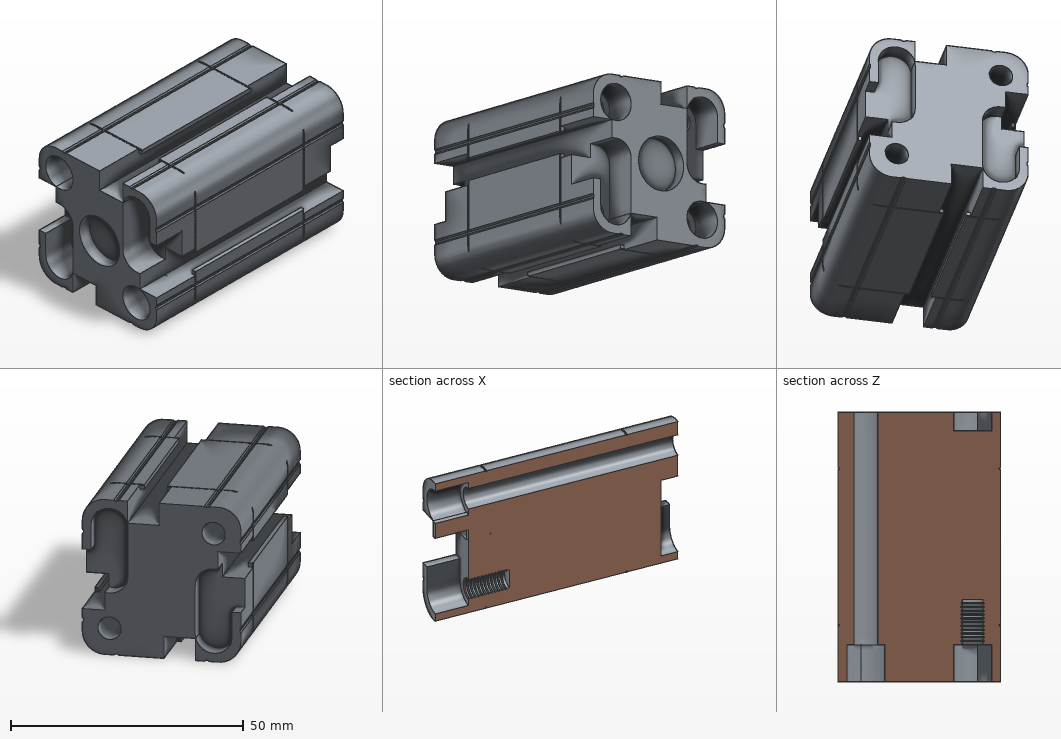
import cadquery as cq
import math

LENGTH = 58.0
SIDE = 35.0
EDGE_RADIUS = 5.0
HALF_LENGTH = LENGTH / 2
HALF_SIDE = SIDE / 2

SLOT_WIDTH = 6.95
SLOT_DEPTH = 5.0
SLOT_OFFSET = 4.0
LIP_THICKNESS = 1.0
LIP_OVERHANG = 1.0
LIP_LENGTH = 33.9

SCORE_WIDTH = 0.25
SCORE_DEPTH = 0.25

GROOVE_OFFSET = 10.0
GROOVE_TOP_WIDTH = 1.15
GROOVE_FLOOR_WIDTH = 0.4
GROOVE_DEPTH = 0.25

HOLE_OFFSET = 11.5
HOLE_DIAMETER = 5.1
TAP_DIAMETER = 4.4
THREAD_PITCH = 0.8
THREAD_TURNS = 12
THREAD_FLANK_ANGLE = 30.0
COUNTERBORE_DIAMETER = 8.1

POCKET_RADIUS = COUNTERBORE_DIAMETER / 2
POCKET_TOP_CENTER = -0.5
POCKET_SILL = -6.0
FRONT_RECESS_DEPTH = 7.95
BACK_RECESS_DEPTH = 4.0
FRONT_RECESS_FLOOR = -HALF_LENGTH + FRONT_RECESS_DEPTH
BACK_RECESS_FLOOR = HALF_LENGTH - BACK_RECESS_DEPTH

BORE_DIAMETER = 12.0
BORE_OFFSET = 0.5
BORE_DEPTH = 3.0


def box(x_range, y_range, z_range):
    """Axis-aligned block given by its (low, high) limits."""
    ranges = (x_range, y_range, z_range)
    sizes = [high - low for low, high in ranges]
    corner = tuple(low for low, high in ranges)
    return cq.Workplane("XY").box(*sizes, centered=False).translate(corner)


def rod(x, z, diameter, y_start, y_end):
    """Cylinder along Y between two stations."""
    plane = cq.Workplane("XZ", origin=(x, y_start, z))
    return plane.circle(diameter / 2).extrude(y_start - y_end)


def turned(shape, quarter_turns):
    """Shape turned about the Y axis through the body's centre."""
    return shape.rotate((0, 0, 0), (0, 1, 0), 90 * quarter_turns)


def side_slot():
    """Slot in the left side, narrowed by two lips over its middle stretch."""
    low = SLOT_OFFSET - SLOT_WIDTH / 2
    high = SLOT_OFFSET + SLOT_WIDTH / 2
    slot = box((-HALF_SIDE, -HALF_SIDE + SLOT_DEPTH), (-HALF_LENGTH, HALF_LENGTH), (low, high))
    lip_x = (-HALF_SIDE, -HALF_SIDE + LIP_THICKNESS)
    lip_y = (-LIP_LENGTH / 2, LIP_LENGTH / 2)
    lower_lip = box(lip_x, lip_y, (low, low + LIP_OVERHANG))
    upper_lip = box(lip_x, lip_y, (high - LIP_OVERHANG, high))
    return slot.cut(lower_lip).cut(upper_lip)


def side_groove(z):
    """Trapezoidal groove along the left side at height z."""
    points = [
        (-HALF_SIDE, z - GROOVE_TOP_WIDTH / 2),
        (-HALF_SIDE + GROOVE_DEPTH, z - GROOVE_FLOOR_WIDTH / 2),
        (-HALF_SIDE + GROOVE_DEPTH, z + GROOVE_FLOOR_WIDTH / 2),
        (-HALF_SIDE, z + GROOVE_TOP_WIDTH / 2),
    ]
    return cq.Workplane("XZ").polyline(points).close().extrude(HALF_LENGTH, both=True)


def score_line(end):
    """Shallow cut around the four flat sides at one end of the lips (end is -1 or 1)."""
    middle = end * (LIP_LENGTH - SCORE_WIDTH) / 2
    core = SIDE - 2 * SCORE_DEPTH
    outer = cq.Workplane("XY").box(SIDE, SCORE_WIDTH, SIDE)
    inner = cq.Workplane("XY").box(core, SCORE_WIDTH, core)
    return outer.cut(inner).translate((0, middle, 0))


def pocket(y_start, y_end):
    """Rounded recess around the lower left hole, opening to the left side above its sill."""
    bottom = rod(-HOLE_OFFSET, -HOLE_OFFSET, COUNTERBORE_DIAMETER, y_start, y_end)
    top = rod(-HOLE_OFFSET, POCKET_TOP_CENTER, COUNTERBORE_DIAMETER, y_start, y_end)
    channel = box(
        (-HOLE_OFFSET - POCKET_RADIUS, -HOLE_OFFSET + POCKET_RADIUS),
        (y_start, y_end),
        (-HOLE_OFFSET, POCKET_TOP_CENTER),
    )
    opening = box(
        (-HALF_SIDE, -HOLE_OFFSET),
        (y_start, y_end),
        (POCKET_SILL, POCKET_TOP_CENTER + POCKET_RADIUS),
    )
    return bottom.union(top).union(channel).union(opening)


def tapped_hole():
    """Blind hole in the floor of the lower left front pocket, its thread made of closed V rings."""
    crest = TAP_DIAMETER / 2
    root = HOLE_DIAMETER / 2
    flank = (root - crest) * math.tan(math.radians(THREAD_FLANK_ANGLE))
    profile = [(0, 0), (root, 0), (crest, flank)]
    for turn in range(1, THREAD_TURNS):
        station = turn * THREAD_PITCH
        profile += [(crest, station - flank), (root, station), (crest, station + flank)]
    hole_depth = THREAD_TURNS * THREAD_PITCH
    profile += [(crest, hole_depth), (0, hole_depth)]
    hole = cq.Workplane("XY").polyline(profile).close().revolve(360, (0, 0, 0), (0, 1, 0))
    return hole.translate((-HOLE_OFFSET, FRONT_RECESS_FLOOR, -HOLE_OFFSET))


body = cq.Workplane("XY").box(SIDE, LENGTH, SIDE).edges("|Y").fillet(EDGE_RADIUS)

for quarter in range(4):
    body = body.cut(turned(side_slot(), quarter))
    for z in (-GROOVE_OFFSET, GROOVE_OFFSET):
        body = body.cut(turned(side_groove(z), quarter))

for end in (-1, 1):
    body = body.cut(score_line(end))

for quarter in (0, 2):
    body = body.cut(turned(pocket(-HALF_LENGTH, FRONT_RECESS_FLOOR), quarter))
    body = body.cut(turned(pocket(BACK_RECESS_FLOOR, HALF_LENGTH), quarter))
    body = body.cut(turned(tapped_hole(), quarter))

for x in (-HOLE_OFFSET, HOLE_OFFSET):
    body = body.cut(rod(x, -x, HOLE_DIAMETER, -HALF_LENGTH, HALF_LENGTH))
    body = body.cut(rod(x, -x, COUNTERBORE_DIAMETER, -HALF_LENGTH, FRONT_RECESS_FLOOR))

bore_floor = -HALF_LENGTH + BORE_DEPTH
body = body.cut(rod(BORE_OFFSET, -BORE_OFFSET, BORE_DIAMETER, -HALF_LENGTH, bore_floor))

result = body